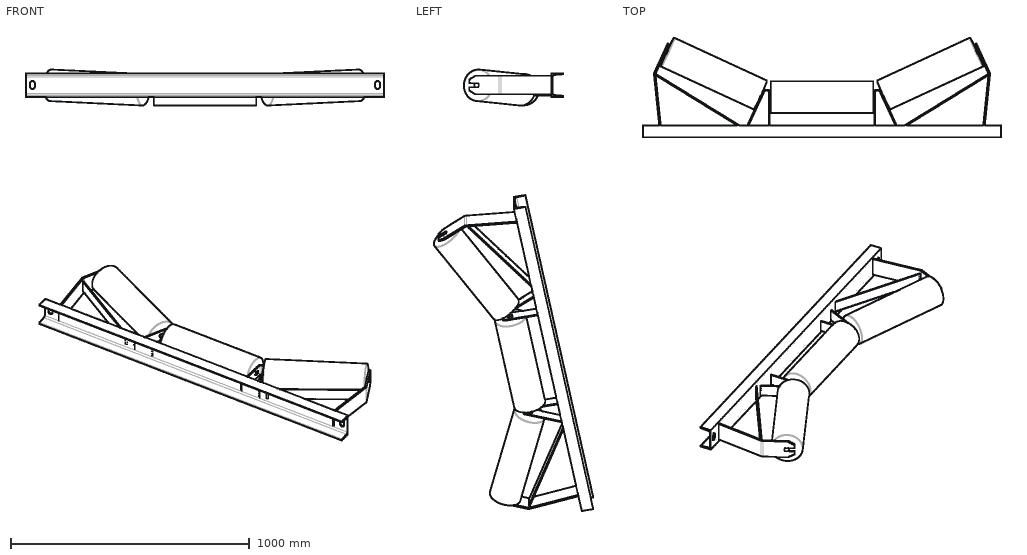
import cadquery as cq
import math


beam_length = 1500.0
beam_height = 100.0
flange_width = 50.0
web_thickness = 5.0
flange_thickness = 8.0
flange_taper = 5.0
root_radius = 8.0
toe_radius = 3.8
mount_slot_spacing = 1446.0
mount_slot_width = 20.0
mount_slot_length = 33.0

roller_diameter = 134.0
roller_length = 430.0
roller_edge_radius = 3.0
center_roller_y = 118.0
center_roller_z = -20.0
wing_roller_x = 453.0
wing_roller_y = 218.0
wing_roller_z = -10.0
trough_angle = 24.8
tilt_angle = 2.5
shaft_diameter = 21.0
shaft_flat_height = 16.0

outer_plate_height = 80.0
inner_plate_height = 50.0
inner_thickness = 5.2
outer_thickness = 8.0
inner_gap = 3.0
outer_gap = 6.0
inner_top_y = 150.0
inner_bend_radius = 5.0
outer_bend_radius = 9.0
outer_bend_y = 218.0
outer_base_x = 682.0
outer_top_y = 344.0
tip_chamfer_length = 28.0
tip_chamfer_height = 16.0
brace_base_x = 345.0
brace_thickness = 5.2
brace_inset = 6.0
brace_height = 50.0

trough_sin = math.sin(math.radians(trough_angle))
trough_cos = math.cos(math.radians(trough_angle))
half_roller = roller_length / 2
inner_reach = half_roller + inner_gap + inner_thickness
outer_reach = half_roller + outer_gap + outer_thickness
oversize = 2 * beam_length


def plate_x(distance, y):
    """X at a given Y on the plane that crosses the wing roller's axis at a distance from its middle."""
    return wing_roller_x + (distance - (y - wing_roller_y) * trough_sin) / trough_cos


outer_bend_x = plate_x(outer_reach, outer_bend_y)


def make_beam():
    """Channel with its back at Y = 0, tapered flanges toward -Y and a mounting slot at each end."""
    half_height = beam_height / 2
    taper_tan = math.tan(math.radians(flange_taper))
    half_reach = (flange_width - web_thickness) / 2
    root_z = half_height - flange_thickness - half_reach * taper_tan
    toe_z = half_height - flange_thickness + half_reach * taper_tan
    profile = [
        (0, -half_height),
        (0, half_height),
        (-flange_width, half_height),
        (-flange_width, toe_z),
        (-web_thickness, root_z),
        (-web_thickness, -root_z),
        (-flange_width, -toe_z),
        (-flange_width, -half_height),
    ]
    beam = cq.Workplane("YZ").polyline(profile).close().extrude(beam_length / 2, both=True)
    for side in (-1, 1):
        root = cq.selectors.NearestToPointSelector((0, -web_thickness, side * root_z))
        toe = cq.selectors.NearestToPointSelector((0, -flange_width, side * toe_z))
        beam = beam.edges("|X").edges(root).fillet(root_radius)
        beam = beam.edges("|X").edges(toe).fillet(toe_radius)
    slots = (
        cq.Workplane("XZ")
        .pushPoints([(-mount_slot_spacing / 2, 0), (mount_slot_spacing / 2, 0)])
        .slot2D(mount_slot_length, mount_slot_width, 90)
        .extrude(web_thickness)
    )
    return beam.cut(slots)


def make_shaft(start, end):
    """Round shaft along X with a flat above and a flat below."""
    shaft = cq.Workplane("YZ").workplane(offset=start).circle(shaft_diameter / 2).extrude(end - start)
    flats = cq.Workplane("XY").box(oversize, shaft_diameter, shaft_flat_height)
    return shaft.intersect(flats)


def make_roller(shaft_start, shaft_end):
    """Roller with its shaft, centered on the origin along X."""
    end_plane = cq.Workplane("YZ").workplane(offset=-half_roller)
    body = end_plane.circle(roller_diameter / 2).extrude(roller_length)
    body = body.edges().fillet(roller_edge_radius)
    return body.union(make_shaft(shaft_start, shaft_end))


def at_center(shape):
    """Move a shape from the origin to the center roller's place."""
    return shape.translate((0, center_roller_y, center_roller_z))


def at_wing(shape):
    """Turn and move a shape from the origin to the +X wing roller's place."""
    tilted = shape.rotate((0, 0, 0), (0, 1, 0), -tilt_angle)
    turned = tilted.rotate((0, 0, 0), (0, 0, 1), trough_angle)
    return turned.translate((wing_roller_x, wing_roller_y, wing_roller_z))


def bent_plate(points, thickness, height, bend_radius=0.0):
    """Upright plate whose outer face follows the points; the thickness lies to the right of the path."""
    directions = []
    for (x0, y0), (x1, y1) in zip(points, points[1:]):
        length = math.hypot(x1 - x0, y1 - y0)
        directions.append(((x1 - x0) / length, (y1 - y0) / length))
    inside = []
    for i, (x, y) in enumerate(points):
        ux, uy = directions[max(i - 1, 0)]
        vx, vy = directions[min(i, len(directions) - 1)]
        miter = thickness / (1 + ux * vx + uy * vy)
        inside.append((x + miter * (uy + vy), y - miter * (ux + vx)))
    plate = cq.Workplane("XY").polyline(points + inside[::-1]).close().extrude(height / 2, both=True)
    if bend_radius:
        for outer, inner in list(zip(points, inside))[1:-1]:
            for (x, y), radius in ((outer, bend_radius + thickness), (inner, bend_radius)):
                corner = cq.selectors.NearestToPointSelector((x, y, 0))
                plate = plate.edges("|Z").edges(corner).fillet(radius)
    return plate


def above_beam(shape):
    """Trim away what lies below the back of the beam."""
    block = cq.Workplane("XY").box(oversize, oversize, oversize)
    return shape.cut(block.translate((0, -oversize / 2, 0)))


def make_inner_bracket():
    """Inverted U: an upright leg at the center roller and a slanted leg at the wing roller (+X side)."""
    leg_x = half_roller + inner_gap
    path = [
        (leg_x, 0),
        (leg_x, inner_top_y),
        (plate_x(-half_roller - inner_gap, inner_top_y), inner_top_y),
        (plate_x(-half_roller - inner_gap, -inner_thickness), -inner_thickness),
    ]
    bracket = above_beam(bent_plate(path, inner_thickness, inner_plate_height, inner_bend_radius))
    bracket = bracket.translate((0, 0, center_roller_z))
    hole_end = inner_reach + inner_thickness
    center_hole = at_center(make_shaft(half_roller, hole_end))
    wing_hole = at_wing(make_shaft(-hole_end, -half_roller))
    return bracket.cut(center_hole).cut(wing_hole)


def make_open_seat():
    """Cutter for the shaft's seat in the outer bracket, open toward the bracket's tip."""
    seat_end = outer_reach + outer_thickness
    seat = make_shaft(half_roller, seat_end)
    mouth = cq.Workplane("XY").box(
        seat_end - half_roller, roller_diameter, shaft_flat_height, centered=(False, False, True)
    )
    return seat.union(mouth.translate((half_roller, 0, 0)))


def make_outer_bracket():
    """Plate that rises from the beam and bends in along the wing roller's outer end (+X side)."""
    lean = (outer_bend_x - outer_base_x) / outer_bend_y
    path = [
        (plate_x(outer_reach, outer_top_y), outer_top_y),
        (outer_bend_x, outer_bend_y),
        (outer_base_x - lean * outer_thickness, -outer_thickness),
    ]
    bracket = above_beam(bent_plate(path, outer_thickness, outer_plate_height, outer_bend_radius))
    chamfer_y = outer_top_y - tip_chamfer_length * trough_cos
    for side in (-1, 1):
        corner = [
            (outer_top_y, side * (outer_plate_height / 2 - tip_chamfer_height)),
            (outer_top_y, side * outer_plate_height / 2),
            (chamfer_y, side * outer_plate_height / 2),
        ]
        bracket = bracket.cut(cq.Workplane("YZ").polyline(corner).close().extrude(oversize))
    return bracket.cut(at_wing(make_open_seat()))


def make_brace(outer_bracket):
    """Narrow strip from the outer bracket's bend down to the beam (+X side)."""
    top_x = outer_bend_x - brace_inset
    slope = (top_x - brace_base_x) / outer_bend_y
    path = [(brace_base_x - slope * brace_thickness, -brace_thickness), (top_x, outer_bend_y)]
    brace = bent_plate(path, brace_thickness, brace_height)
    return above_beam(brace).cut(outer_bracket)


beam = make_beam()
center_roller = at_center(make_roller(-inner_reach, inner_reach))
wing_roller = at_wing(make_roller(-inner_reach, outer_reach))
inner_bracket = make_inner_bracket()
outer_bracket = make_outer_bracket()
brace = make_brace(outer_bracket)

bodies = [beam.solids().val(), center_roller.solids().val()]
for body in (wing_roller, inner_bracket, outer_bracket, brace):
    bodies.append(body.solids().val())
    bodies.append(body.mirror("YZ").solids().val())

result = cq.Compound.makeCompound(bodies)